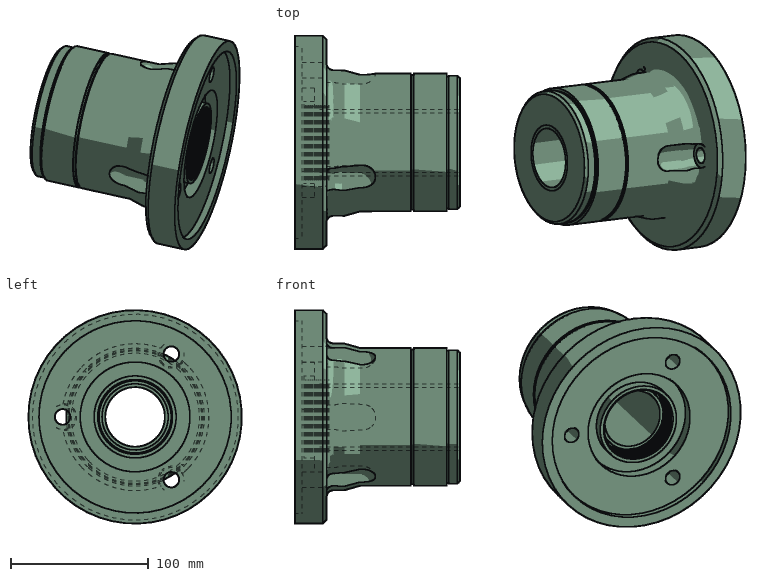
import cadquery as cq
import math

FLANGE_RADIUS = 77.5
FLANGE_THICKNESS = 23.0
FLANGE_CHAMFER = 2.8
FLANGE_RECESS_RADIUS = 69.8
FLANGE_RECESS_DEPTH = 5.0

BARREL_RADIUS = 50.0
NECK_RADIUS = 53.3
NECK_FILLET = 5.0
NECK_END = 35.8
TAPER_END = 47.3
BARREL_END = 84.2
SPIGOT_RADIUS = 49.0
SPIGOT_LENGTH = 0.6
HOUSING_END = BARREL_END + SPIGOT_LENGTH

CENTRE_RECESS_RADIUS = 39.8
CENTRE_RECESS_FLOOR = 14.0
BOSS_RADIUS = 29.8
BOSS_FRONT = 6.4
THREAD_MAJOR_RADIUS = 27.1
THREAD_MINOR_RADIUS = 26.2
THREAD_PITCH = 1.5
THREAD_COUNT = 12
THREAD_END = BOSS_FRONT + THREAD_COUNT * THREAD_PITCH

SCREW_COUNT = 3
SCREW_CIRCLE_RADIUS = 52.5
SCREW_HOLE_RADIUS = 5.6
POCKET_NARROW_RADIUS = 9.0
POCKET_WIDE_RADIUS = 9.9
POCKET_TAPER_START = 29.1
POCKET_TAPER_END = 34.3
POCKET_BALL_CENTRE = 48.8

OVERALL_LENGTH = 119.8
CAP_RADIUS = BARREL_RADIUS
CAP_GROOVE_RADIUS = SPIGOT_RADIUS
CAP_RIM_START = 86.3
CAP_RIM_END = 110.2
RELIEF_RADIUS = 48.0
RELIEF_WIDTH = 1.5
CAP_NOSE_RADIUS = 48.5
CAP_NOSE_CHAMFER = 2.0

SLEEVE_OUTER_RADIUS = 24.0
SLEEVE_BORE_RADIUS = 21.5
SLEEVE_START = 18.0

X_AXIS = ((0, 0, 0), (1, 0, 0))


def revolve_about_x(outline):
    """Turn a closed outline of (x, radius) points about the X axis."""
    return outline.close().revolve(360, *X_AXIS)


def make_housing_blank():
    """Flange, filleted neck and barrel, recessed in front around the plain boss."""
    fillet_middle = NECK_FILLET * (1 - math.sqrt(0.5))
    outline = (
        cq.Workplane("XY")
        .moveTo(0, FLANGE_RECESS_RADIUS)
        .lineTo(0, FLANGE_RADIUS)
        .lineTo(FLANGE_THICKNESS - FLANGE_CHAMFER, FLANGE_RADIUS)
        .lineTo(FLANGE_THICKNESS, FLANGE_RADIUS - FLANGE_CHAMFER)
        .lineTo(FLANGE_THICKNESS, NECK_RADIUS + NECK_FILLET)
        .threePointArc(
            (FLANGE_THICKNESS + fillet_middle, NECK_RADIUS + fillet_middle),
            (FLANGE_THICKNESS + NECK_FILLET, NECK_RADIUS),
        )
        .lineTo(NECK_END, NECK_RADIUS)
        .lineTo(TAPER_END, BARREL_RADIUS)
        .lineTo(BARREL_END, BARREL_RADIUS)
        .lineTo(BARREL_END, SPIGOT_RADIUS)
        .lineTo(HOUSING_END, SPIGOT_RADIUS)
        .lineTo(HOUSING_END, SLEEVE_OUTER_RADIUS)
        .lineTo(BOSS_FRONT, SLEEVE_OUTER_RADIUS)
        .lineTo(BOSS_FRONT, BOSS_RADIUS)
        .lineTo(CENTRE_RECESS_FLOOR, BOSS_RADIUS)
        .lineTo(CENTRE_RECESS_FLOOR, CENTRE_RECESS_RADIUS)
        .lineTo(FLANGE_RECESS_DEPTH, CENTRE_RECESS_RADIUS)
        .lineTo(FLANGE_RECESS_DEPTH, FLANGE_RECESS_RADIUS)
    )
    return revolve_about_x(outline)


def make_thread_cutter():
    """Threaded bore, its thread simplified to a row of ring-shaped V grooves."""
    outline = (
        cq.Workplane("XY")
        .moveTo(BOSS_FRONT, 0)
        .lineTo(BOSS_FRONT, THREAD_MAJOR_RADIUS)
    )
    for index in range(THREAD_COUNT):
        groove_start = BOSS_FRONT + index * THREAD_PITCH
        outline = outline.lineTo(groove_start + THREAD_PITCH / 2, THREAD_MINOR_RADIUS)
        outline = outline.lineTo(groove_start + THREAD_PITCH, THREAD_MAJOR_RADIUS)
    return revolve_about_x(outline.lineTo(THREAD_END, 0))


def make_screw_cutter(angle):
    """Screw hole through the flange and the round-ended pocket behind it."""
    hole = (
        cq.Workplane("YZ")
        .center(SCREW_CIRCLE_RADIUS, 0)
        .circle(SCREW_HOLE_RADIUS)
        .extrude(FLANGE_THICKNESS)
    )
    ball_middle = POCKET_WIDE_RADIUS * math.sqrt(0.5)
    pocket = (
        cq.Workplane("XY")
        .moveTo(FLANGE_THICKNESS, 0)
        .lineTo(FLANGE_THICKNESS, POCKET_NARROW_RADIUS)
        .lineTo(POCKET_TAPER_START, POCKET_NARROW_RADIUS)
        .lineTo(POCKET_TAPER_END, POCKET_WIDE_RADIUS)
        .lineTo(POCKET_BALL_CENTRE, POCKET_WIDE_RADIUS)
        .threePointArc(
            (POCKET_BALL_CENTRE + ball_middle, ball_middle),
            (POCKET_BALL_CENTRE + POCKET_WIDE_RADIUS, 0),
        )
    )
    pocket = revolve_about_x(pocket).translate((0, SCREW_CIRCLE_RADIUS, 0))
    return hole.union(pocket).rotate(*X_AXIS, angle)


def make_housing():
    housing = make_housing_blank().cut(make_thread_cutter())
    for index in range(SCREW_COUNT):
        housing = housing.cut(make_screw_cutter(index * 360 / SCREW_COUNT))
    return housing


def make_cap():
    """Ring closing the end of the barrel, with a groove on each side of its rim."""
    relief_end = CAP_RIM_END + RELIEF_WIDTH
    outline = (
        cq.Workplane("XY")
        .moveTo(HOUSING_END, SLEEVE_OUTER_RADIUS)
        .lineTo(HOUSING_END, CAP_GROOVE_RADIUS)
        .lineTo(CAP_RIM_START, CAP_GROOVE_RADIUS)
        .lineTo(CAP_RIM_START, CAP_RADIUS)
        .lineTo(CAP_RIM_END, CAP_RADIUS)
        .lineTo(CAP_RIM_END, RELIEF_RADIUS)
        .lineTo(relief_end, RELIEF_RADIUS)
        .lineTo(relief_end, CAP_NOSE_RADIUS)
        .lineTo(OVERALL_LENGTH - CAP_NOSE_CHAMFER, CAP_NOSE_RADIUS)
        .lineTo(OVERALL_LENGTH, CAP_NOSE_RADIUS - CAP_NOSE_CHAMFER)
        .lineTo(OVERALL_LENGTH, SLEEVE_OUTER_RADIUS)
    )
    return revolve_about_x(outline)


def make_sleeve():
    """Plain tube running through the housing and the cap, its front end inside the thread."""
    return (
        cq.Workplane("YZ", origin=(SLEEVE_START, 0, 0))
        .circle(SLEEVE_OUTER_RADIUS)
        .circle(SLEEVE_BORE_RADIUS)
        .extrude(OVERALL_LENGTH - SLEEVE_START)
    )


housing = make_housing()
cap = make_cap()
sleeve = make_sleeve()

result = cq.Compound.makeCompound([housing.val(), cap.val(), sleeve.val()])